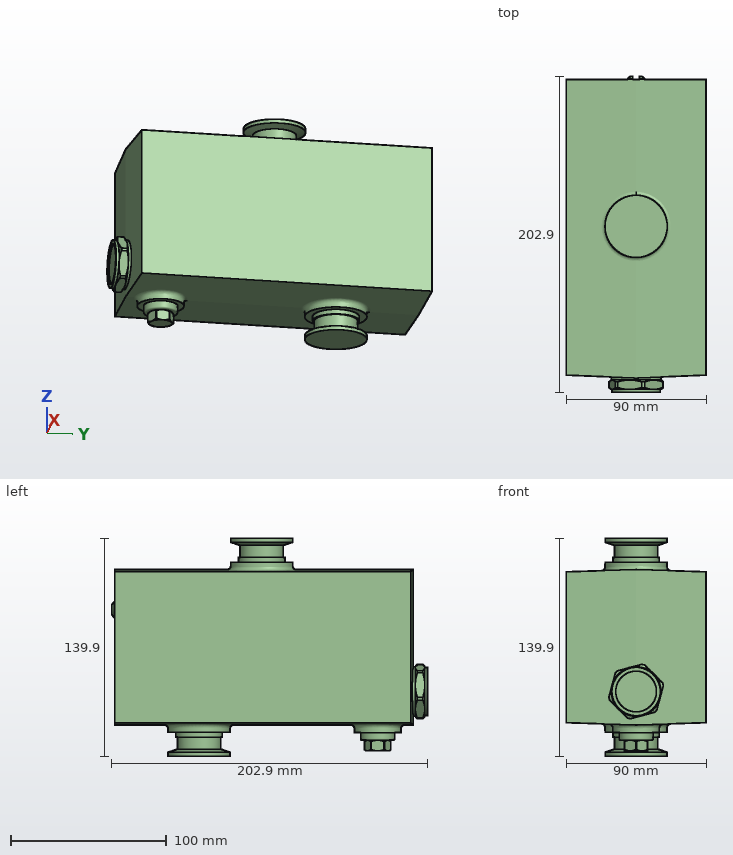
import cadquery as cq
import math

body_width = 90.0
body_height = 99.9
back_y = 94.4
front_y = -97.5
roof_drop = 1.5
front_drop = 1.8
weld_radius = 2.2

port_height = 20.0
flange_diameter = 40.0
foot_height = 4.7
collar_diameter = 30.0
collar_height = 3.0
neck_diameter = 28.0
rim_thickness = 2.6
rim_underside_height = 2.0
bottom_port_y = 40.2

plug_y = -74.5
plug_foot_diameter = 30.0
plug_foot_height = 4.9
plug_collar_diameter = 22.0
plug_collar_height = 4.9
plug_collar_round = 1.0
plug_hex_flats = 15.0
plug_hex_corner_diameter = 17.0
plug_hex_height = 7.0
plug_hex_chamfer = 0.8
plug_hex_turn = 90

nut_z = -28.5
nut_collar_diameter = 32.0
nut_collar_length = 1.2
nut_flats = 31.9
nut_corner_diameter = 35.7
nut_length = 6.0
nut_chamfer = 1.2
nut_turn = 15
nut_ring_diameter = 31.0
nut_ring_length = 1.8
nut_recess_diameter = 26.2
nut_recess_depth = 1.0

screw_z = 24.2
screw_diameter = 11.0
screw_height = 2.0
screw_slope_height = 1.6
screw_slope_width = 1.8
slot_width = 4.0

half_width = body_width / 2
half_height = body_height / 2
hex_corner_ratio = 1 / math.cos(math.pi / 6)


def make_housing():
    side_height = half_height - roof_drop
    section = (
        cq.Workplane("XZ", origin=(0, back_y, 0))
        .polyline([
            (-half_width, -side_height), (0, -half_height), (half_width, -side_height),
            (half_width, side_height), (0, half_height), (-half_width, side_height),
        ])
        .close()
        .extrude(back_y - front_y)
    )
    plan = (
        cq.Workplane("XY", origin=(0, 0, -half_height))
        .polyline([
            (-half_width, back_y), (half_width, back_y), (half_width, front_y + front_drop),
            (0, front_y), (-half_width, front_y + front_drop),
        ])
        .close()
        .extrude(body_height)
    )
    return section.intersect(plan)


def add_foot(body, y, diameter, height, side):
    """Add a welded round foot on the top (side = 1) or bottom (side = -1)."""
    foot = (
        cq.Workplane("XY", origin=(0, y, side * (half_height - 2 * roof_drop)))
        .circle(diameter / 2)
        .extrude(side * (height + 2 * roof_drop))
    )
    reach = diameter / 2 + 0.2
    seam = cq.selectors.BoxSelector(
        (-reach, y - reach, side * (half_height - roof_drop)),
        (reach, y + reach, side * (half_height + 0.2)),
        boundingbox=True,
    )
    return body.union(foot).edges(seam).fillet(weld_radius)


def make_flange():
    """Flange port above its foot, standing on z = 0 and pointing along +Z."""
    top = port_height - foot_height
    rim_bottom = top - rim_thickness
    neck_top = rim_bottom - rim_underside_height
    neck_radius = neck_diameter / 2
    return (
        cq.Workplane("XZ")
        .polyline([
            (0, 0), (collar_diameter / 2, 0), (collar_diameter / 2, collar_height),
            (neck_radius, collar_height), (neck_radius, neck_top),
            (flange_diameter / 2, rim_bottom), (flange_diameter / 2, top), (0, top),
        ])
        .close()
        .revolve(360, (0, 0), (0, 1))
    )


def make_hex(flats, corner_diameter, length, chamfer_length, turn):
    """Hexagonal prism along +Z with its corners turned round and both ends bevelled down to the flats."""
    prism = cq.Workplane("XY").polygon(6, flats * hex_corner_ratio).extrude(length)
    prism = prism.rotate((0, 0, 0), (0, 0, 1), turn)
    end_radius = flats / 2
    corner_radius = corner_diameter / 2
    envelope = (
        cq.Workplane("XZ")
        .polyline([
            (0, 0), (end_radius, 0), (corner_radius, chamfer_length),
            (corner_radius, length - chamfer_length), (end_radius, length), (0, length),
        ])
        .close()
        .revolve(360, (0, 0), (0, 1))
    )
    return prism.intersect(envelope)


def make_plug():
    """Plug below its foot, standing on z = 0 and pointing along +Z."""
    collar = cq.Workplane("XY").circle(plug_collar_diameter / 2).extrude(plug_collar_height)
    collar = collar.faces(">Z").edges().fillet(plug_collar_round)
    head = make_hex(
        plug_hex_flats, plug_hex_corner_diameter, plug_hex_height, plug_hex_chamfer, plug_hex_turn
    )
    return collar.union(head.translate((0, 0, plug_collar_height)))


def make_gland():
    """Gland nut standing on z = 0 and pointing along +Z, with a stub reaching into the housing."""
    collar = (
        cq.Workplane("XY", origin=(0, 0, -front_drop))
        .circle(nut_collar_diameter / 2)
        .extrude(front_drop + nut_collar_length)
    )
    nut = make_hex(nut_flats, nut_corner_diameter, nut_length, nut_chamfer, nut_turn)
    ring = (
        cq.Workplane("XY", origin=(0, 0, nut_collar_length + nut_length))
        .circle(nut_ring_diameter / 2)
        .extrude(nut_ring_length)
    )
    ring = ring.faces(">Z").workplane().circle(nut_recess_diameter / 2).cutBlind(-nut_recess_depth)
    return collar.union(nut.translate((0, 0, nut_collar_length))).union(ring)


def make_screw():
    """Slotted screw head standing on z = 0 and pointing along +Z, with the slot along Y."""
    head = cq.Workplane("XY").circle(screw_diameter / 2).extrude(screw_height)
    head = head.faces(">Z").chamfer(screw_slope_height, screw_slope_width)
    slot = cq.Workplane("XY").box(slot_width, 2 * screw_diameter, 2 * screw_height)
    return head.cut(slot)


def point_down(shape):
    return shape.rotate((0, 0, 0), (1, 0, 0), 180)


def point_forward(shape):
    return shape.rotate((0, 0, 0), (1, 0, 0), 90)


def point_back(shape):
    return shape.rotate((0, 0, 0), (1, 0, 0), -90)


body = make_housing()
body = add_foot(body, 0, flange_diameter, foot_height, 1)
body = add_foot(body, bottom_port_y, flange_diameter, foot_height, -1)
body = add_foot(body, plug_y, plug_foot_diameter, plug_foot_height, -1)

flange = make_flange()
foot_top = half_height + foot_height
body = body.union(flange.translate((0, 0, foot_top)))
body = body.union(point_down(flange).translate((0, bottom_port_y, -foot_top)))
body = body.union(point_down(make_plug()).translate((0, plug_y, -half_height - plug_foot_height)))
body = body.union(point_forward(make_gland()).translate((0, front_y, nut_z)))
result = body.union(point_back(make_screw()).translate((0, back_y, screw_z)))